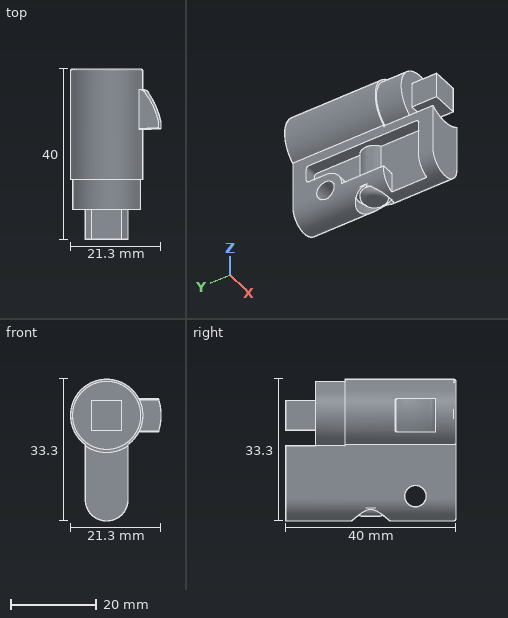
import cadquery as cq
import math

length = 40.0

barrel_diameter = 17.0
barrel_radius = barrel_diameter / 2
barrel_front = 14.0
neck_radius = 8.0
neck_front = 7.0
spindle_width = 7.0
joint_overlap = 2.0

slab_half_width = 5.05
slab_bottom = -24.8
slab_round_center = slab_bottom + slab_half_width
cradle_radius = 8.7
rear_fillet = 0.55

pocket_floor = -1.6
pocket_front = 4.1
pocket_rear = 35.9
pocket_top = -9.6
pocket_corner_radius = 0.8
cut_clearance = 0.4
cross_hole_radius = 2.5
cross_hole_y = 30.5
cross_hole_z = -18.95
boss_radius = 4.6
screw_y = 20.0
screw_radius = 3.4
screw_end = -23.7
screw_end_fillet = 1.4
bore_radius = 4.5
bore_roof = -21.7

cam_half_height = 3.9
cam_tip_radius = 12.8
cam_front = 25.7
cam_tip_front = 25.95
cam_tip_rear = 27.5
cam_rear = 35.15
cam_edge_chamfer = 0.3
cam_flank_middle = (11.65, 31.15)
cam_flank_rear = (10.0, 34.1)
cam_corner_middle = (9.45, 34.9)


def cylinder_y(radius, front, rear):
    """Cylinder about the lock axis between two Y positions."""
    return cq.Workplane("XZ", origin=(0, front, 0)).circle(radius).extrude(front - rear)


def make_body():
    """Barrel and slab with a rounded rear edge and a cradle under the neck."""
    slab = (
        cq.Workplane("XZ")
        .moveTo(-slab_half_width, 0)
        .lineTo(-slab_half_width, slab_round_center)
        .threePointArc((0, slab_bottom), (slab_half_width, slab_round_center))
        .lineTo(slab_half_width, 0)
        .close()
        .extrude(-length)
        .cut(cylinder_y(cradle_radius, 0, barrel_front))
    )
    body = slab.union(cylinder_y(barrel_radius, barrel_front, length))
    return body.faces(">Y").edges().fillet(rear_fillet)


def make_neck():
    """Neck and square spindle in front of the barrel."""
    spindle_length = neck_front + joint_overlap
    spindle = cq.Workplane("XZ").rect(spindle_width, spindle_width).extrude(-spindle_length)
    return cylinder_y(neck_radius, neck_front, barrel_front + joint_overlap).union(spindle)


def make_pocket():
    """Pocket in the -X side, stepped around the hole boss and open below at the front."""
    depth = slab_half_width + pocket_floor
    open_bottom = slab_bottom - cut_clearance
    boss_top = cross_hole_z + boss_radius
    window_middle_y = (pocket_front + pocket_rear) / 2
    window_middle_z = (pocket_top + boss_top) / 2
    arc_reach = boss_radius * math.sqrt(0.5)
    side = cq.Workplane("YZ", origin=(-slab_half_width, 0, 0))
    window = (
        side.center(window_middle_y, window_middle_z)
        .rect(pocket_rear - pocket_front, pocket_top - boss_top)
        .extrude(depth)
        .edges("|X")
        .fillet(pocket_corner_radius)
    )
    lower_opening = (
        side.moveTo(pocket_front, open_bottom)
        .lineTo(pocket_front, window_middle_z)
        .lineTo(cross_hole_y, window_middle_z)
        .lineTo(cross_hole_y, boss_top)
        .threePointArc(
            (cross_hole_y - arc_reach, cross_hole_z + arc_reach),
            (cross_hole_y - boss_radius, cross_hole_z),
        )
        .lineTo(barrel_front, cross_hole_z)
        .lineTo(barrel_front, open_bottom)
        .close()
        .extrude(depth)
    )
    return window.union(lower_opening)


def make_cross_hole():
    """Round hole through the slab along X."""
    return (
        cq.Workplane("YZ")
        .center(cross_hole_y, cross_hole_z)
        .circle(cross_hole_radius)
        .extrude(slab_half_width + cut_clearance, both=True)
    )


def make_counterbore():
    """Bore rising from the bottom of the slab around the screw end."""
    return (
        cq.Workplane("XY", origin=(0, screw_y, bore_roof))
        .circle(bore_radius)
        .extrude(slab_bottom - cut_clearance - bore_roof)
    )


def make_screw():
    """Vertical set screw with a rounded lower end."""
    return (
        cq.Workplane("XY", origin=(0, screw_y, screw_end))
        .circle(screw_radius)
        .extrude(pocket_top - screw_end)
        .faces("<Z")
        .edges()
        .fillet(screw_end_fillet)
    )


def make_cam():
    """Cam turned about the lock axis, trimmed to the +X half of a flat-sided block."""
    root_radius = math.sqrt(barrel_radius**2 - cam_half_height**2)
    turned = (
        cq.Workplane("XY")
        .moveTo(0, cam_front)
        .lineTo(root_radius, cam_front)
        .lineTo(cam_tip_radius, cam_tip_front)
        .lineTo(cam_tip_radius, cam_tip_rear)
        .threePointArc(cam_flank_middle, cam_flank_rear)
        .threePointArc(cam_corner_middle, (barrel_radius, cam_rear))
        .lineTo(0, cam_rear)
        .close()
        .revolve(360, (0, 0, 0), (0, 1, 0))
    )
    trimming_block = (
        cq.Workplane("XZ", origin=(cam_tip_radius / 2, cam_front, 0))
        .rect(cam_tip_radius, 2 * cam_half_height)
        .extrude(cam_front - cam_rear)
    )
    cam = turned.intersect(trimming_block)
    return cam.faces("<Y").edges(">Z or <Z").chamfer(cam_edge_chamfer)


result = (
    make_body()
    .union(make_neck())
    .cut(make_pocket())
    .cut(make_counterbore())
    .union(make_screw())
    .cut(make_cross_hole())
    .union(make_cam())
)